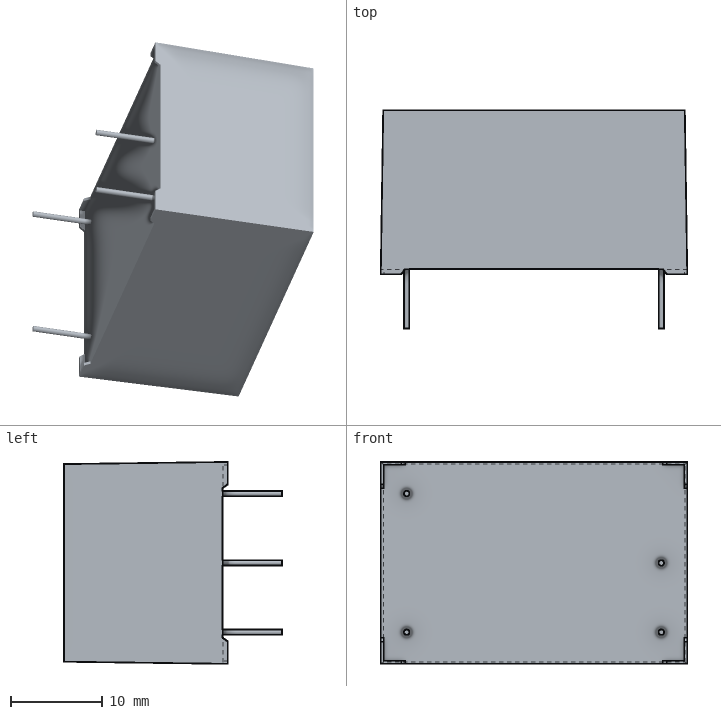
import cadquery as cq

case_width = 33.7
case_height = 22.2
total_depth = 24.0
pin_overhang = 5.95
foot_height = 0.57
back_inset_x = 0.27
back_inset_z = 0.25

foot_wall = 0.35
foot_tip_x = 2.25
foot_root_x = 2.73
foot_tip_z = 2.45
foot_root_z = 2.9

pin_diameter = 0.6
pin_x = 14.0
pin_z = 7.6
pin_places = [(-pin_x, pin_z), (-pin_x, -pin_z), (pin_x, 0), (pin_x, -pin_z)]

case_depth = total_depth - pin_overhang
half_width = case_width / 2
half_height = case_height / 2


def make_case():
    """Solid block that narrows evenly from the feet to the back."""
    return (
        cq.Workplane("XZ")
        .rect(case_width, case_height)
        .workplane(offset=-case_depth)
        .rect(case_width - 2 * back_inset_x, case_height - 2 * back_inset_z)
        .loft(ruled=True)
    )


def relief(plane, half_length, tip, root):
    """Trapezoid cut between two feet, running right through the case."""
    tip_edge = half_length - tip
    root_edge = half_length - root
    outline = [
        (-tip_edge, 0),
        (tip_edge, 0),
        (root_edge, foot_height),
        (-root_edge, foot_height),
    ]
    return cq.Workplane(plane).polyline(outline).close().extrude(case_width, both=True)


def inner_relief():
    """Shallow recess that leaves only the thin walls of the feet."""
    return (
        cq.Workplane("XZ")
        .rect(case_width - 2 * foot_wall, case_height - 2 * foot_wall)
        .extrude(-foot_height)
    )


def make_pins():
    """Round pins standing on the base face."""
    return (
        cq.Workplane("XZ", origin=(0, foot_height, 0))
        .pushPoints(pin_places)
        .circle(pin_diameter / 2)
        .extrude(foot_height + pin_overhang)
    )


side_plane = cq.Plane(origin=(0, 0, 0), xDir=(0, 0, 1), normal=(-1, 0, 0))
across_width = relief("XY", half_width, foot_tip_x, foot_root_x)
across_height = relief(side_plane, half_height, foot_tip_z, foot_root_z)
result = make_case().cut(inner_relief()).cut(across_width).cut(across_height).union(make_pins())